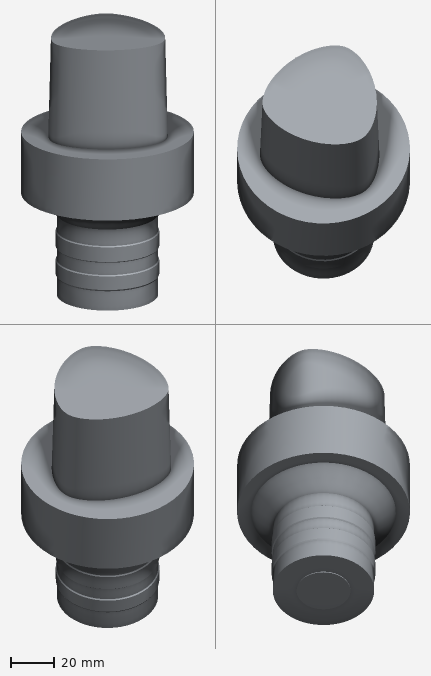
import cadquery as cq
import math

total_height = 128
collar_top = 80.0
collar_height = 30.0
cone_height = 10.0
pad_height = 0.4
collar_bottom = collar_top - collar_height
cone_bottom = collar_bottom - cone_height

collar_diameter = 80.0
neck_diameter = 47.0
band_diameter = 48.0
pad_diameter = 25.0
cone_top_diameter = neck_diameter + 2 * cone_height

band_bevel = (band_diameter - neck_diameter) / 2
long_bevel = 0.8
bands = [
    (9.9, 17.8, long_bevel, band_bevel),
    (23.8, 32.0, band_bevel, band_bevel),
]

shank_base_width = 55.3
shank_taper = 1 / 20
lobe_offset = 2.0
shank_height = total_height - collar_top
shank_top_width = shank_base_width - shank_taper * shank_height
outline_points = 48


def cylinder(diameter, bottom, top):
    return cq.Workplane("XY").workplane(offset=bottom).circle(diameter / 2).extrude(top - bottom)


def cone_frustum(bottom_diameter, top_diameter, bottom, top):
    return (
        cq.Workplane("XY")
        .workplane(offset=bottom)
        .circle(bottom_diameter / 2)
        .workplane(offset=top - bottom)
        .circle(top_diameter / 2)
        .loft(ruled=True)
    )


def band(bottom, top, lower_bevel, upper_bevel):
    """Raised ring whose two edges slope down to the neck."""
    lower_edge = bottom + lower_bevel
    upper_edge = top - upper_bevel
    return (
        cone_frustum(neck_diameter, band_diameter, bottom, lower_edge)
        .union(cylinder(band_diameter, lower_edge, upper_edge))
        .union(cone_frustum(band_diameter, neck_diameter, upper_edge, top))
    )


def lobed_point(angle, width):
    """Point whose outward normal is at the given angle, with one lobe toward -Y."""
    reach = width / 2 + lobe_offset * math.sin(3 * angle)
    slide = 3 * lobe_offset * math.cos(3 * angle)
    x = reach * math.cos(angle) - slide * math.sin(angle)
    y = reach * math.sin(angle) + slide * math.cos(angle)
    return (x, y)


def lobed_outline(width):
    return [lobed_point(2 * math.pi * i / outline_points, width) for i in range(outline_points)]


def shank():
    return (
        cq.Workplane("XY")
        .workplane(offset=collar_top)
        .spline(lobed_outline(shank_base_width), periodic=True)
        .close()
        .workplane(offset=shank_height)
        .spline(lobed_outline(shank_top_width), periodic=True)
        .close()
        .loft(ruled=True)
    )


result = (
    cylinder(pad_diameter, 0, pad_height)
    .union(cylinder(neck_diameter, pad_height, cone_bottom))
    .union(cone_frustum(neck_diameter, cone_top_diameter, cone_bottom, collar_bottom))
    .union(cylinder(collar_diameter, collar_bottom, collar_top))
)

for band_sizes in bands:
    result = result.union(band(*band_sizes))

result = result.union(shank())